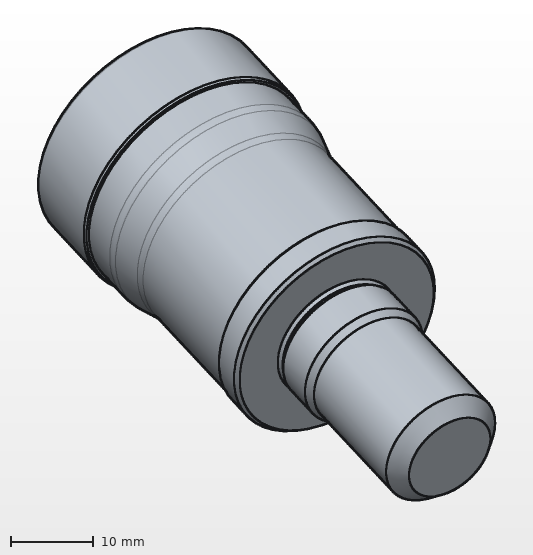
import cadquery as cq
import math

overall_length = 67.26

cap_radius = 16.0
cap_length = 11.0
rim_outer_rounding = 0.6
rim_inner_set_back = 0.3
cap_rear_chamfer_length = 0.4
cap_rear_chamfer_depth = 0.15
recess_mouth_radius = 14.75
nose_radius = recess_mouth_radius / 2
recess_depth = 5.0

band_radius = 31.0 / 2
barrel_radius = 28.6 / 2
flange_radius = 29.0 / 2
taper_start = 16.15
taper_angle = math.radians(15)
taper_blend_radius = 4.2
flange_start = 38.1
flange_end = 42.16
flange_chamfer = 0.5

collar_radius = 17.0 / 2
stud_radius = 15.75 / 2
groove_half_width = 0.6
groove_depth = 0.3
collar_taper_start = 48.2
collar_taper_end = 49.24
stud_end_chamfer = 2.0


def revolve_about_x(profile):
    """Close a half profile drawn in the XY plane and turn it around the X axis."""
    return profile.close().revolve(360, (0, 0, 0), (1, 0, 0))


def build_cap():
    """Ring with a conical recess and a rounded rim, bored to take the housing nose."""
    return revolve_about_x(
        cq.Workplane("XY")
        .moveTo(cap_length, nose_radius)
        .lineTo(recess_depth, nose_radius)
        .lineTo(rim_inner_set_back, recess_mouth_radius)
        .threePointArc((0, cap_radius - rim_outer_rounding), (rim_outer_rounding, cap_radius))
        .lineTo(cap_length - cap_rear_chamfer_length, cap_radius)
        .lineTo(cap_length, cap_radius - cap_rear_chamfer_depth)
    )


def build_housing():
    """Nose that forms the recess floor, barrel tapering from the band to the flange, and stud."""
    tangent_length = taper_blend_radius * math.tan(taper_angle / 2)
    taper_end = taper_start + (band_radius - barrel_radius) / math.tan(taper_angle)
    blend_x = tangent_length * math.cos(taper_angle)
    blend_r = tangent_length * math.sin(taper_angle)
    flange_step = flange_radius - barrel_radius
    groove_bottom = flange_end + groove_half_width
    return revolve_about_x(
        cq.Workplane("XY")
        .moveTo(recess_depth, 0)
        .lineTo(recess_depth, nose_radius)
        .lineTo(cap_length, nose_radius)
        .lineTo(cap_length, band_radius)
        .lineTo(taper_start - tangent_length, band_radius)
        .tangentArcPoint((taper_start + blend_x, band_radius - blend_r), relative=False)
        .lineTo(taper_end - blend_x, barrel_radius + blend_r)
        .tangentArcPoint((taper_end + tangent_length, barrel_radius), relative=False)
        .lineTo(flange_start, barrel_radius)
        .lineTo(flange_start + flange_step, flange_radius)
        .lineTo(flange_end - flange_chamfer, flange_radius)
        .lineTo(flange_end, flange_radius - flange_chamfer)
        .lineTo(flange_end, collar_radius)
        .lineTo(groove_bottom, collar_radius - groove_depth)
        .lineTo(groove_bottom + groove_half_width, collar_radius)
        .lineTo(collar_taper_start, collar_radius)
        .lineTo(collar_taper_end, stud_radius)
        .lineTo(overall_length - stud_end_chamfer, stud_radius)
        .lineTo(overall_length, stud_radius - stud_end_chamfer)
        .lineTo(overall_length, 0)
    )


cap = build_cap()
housing = build_housing()

result = cq.Compound.makeCompound([cap.val(), housing.val()])